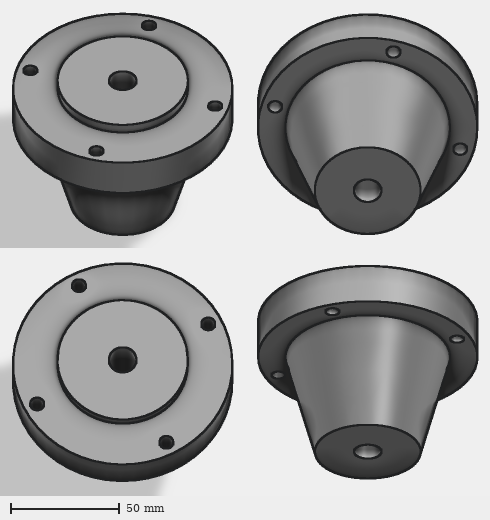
import cadquery as cq
import math

flange_diameter = 101.6
flange_thickness = 19.05

boss_diameter = 60.33
boss_height = 4.76

nose_length = 50.8
nose_base_diameter = 76.2
nose_taper_angle = 15.0
nose_tip_diameter = nose_base_diameter - 2 * nose_length * math.tan(math.radians(nose_taper_angle))

bore_diameter = 12.7
bolt_hole_diameter = 6.4
bolt_circle_diameter = 88.9
bolt_count = 4

nose_tip_z = -nose_length
flange_top_z = flange_thickness
boss_top_z = flange_top_z + boss_height


def turned_body():
    """Solid of revolution: tapered nose, flange and boss about the Z axis."""
    profile = (
        cq.Workplane("XZ")
        .moveTo(0, nose_tip_z)
        .lineTo(nose_tip_diameter / 2, nose_tip_z)
        .lineTo(nose_base_diameter / 2, 0)
        .lineTo(flange_diameter / 2, 0)
        .lineTo(flange_diameter / 2, flange_top_z)
        .lineTo(boss_diameter / 2, flange_top_z)
        .lineTo(boss_diameter / 2, boss_top_z)
        .lineTo(0, boss_top_z)
        .close()
    )
    return profile.revolve(360, (0, 0), (0, 1))


def center_bore():
    """Cylinder running the full height of the part."""
    return (
        cq.Workplane("XY", origin=(0, 0, nose_tip_z))
        .circle(bore_diameter / 2)
        .extrude(boss_top_z - nose_tip_z)
    )


def bolt_holes():
    """Cylinders through the flange, equally spaced and starting on the X axis."""
    return (
        cq.Workplane("XY")
        .polarArray(bolt_circle_diameter / 2, 0, 360, bolt_count)
        .circle(bolt_hole_diameter / 2)
        .extrude(flange_thickness)
    )


result = turned_body().cut(center_bore()).cut(bolt_holes())